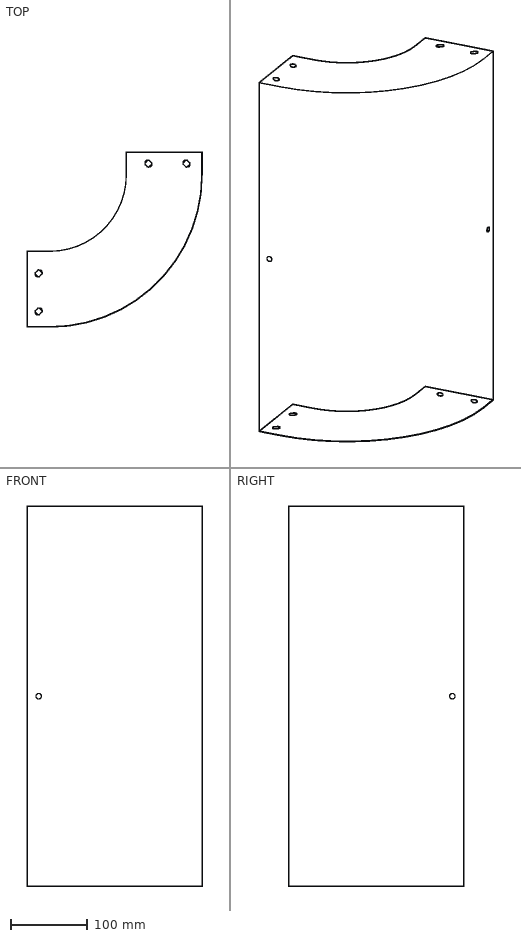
import cadquery as cq
import math

SIDE = 230.0
HEIGHT = 500.0
SHEET = 0.8
STRAIGHT = 30.0
FLANGE_WIDTH = 100.0

HOLE_DIAMETER = 7.0
HOLE_END_DISTANCE = 15.0
SLOT_LENGTH = 10.5
SLOT_ANGLE = 45.0
SLOT_OFFSETS = (20.0, 70.0)

OUTER_RADIUS = SIDE - STRAIGHT
TURN_X = STRAIGHT
TURN_Y = SIDE - STRAIGHT


def turn_middle(radius):
    """Point halfway round the quarter turn at the given radius."""
    reach = radius * math.sqrt(0.5)
    return (TURN_X + reach, TURN_Y - reach)


def elbow(outer_offset, inner_offset, bottom, height):
    """Quarter-turn band between two offsets measured inward from the outer face."""
    return (
        cq.Workplane("XY", origin=(0, 0, bottom))
        .moveTo(0, outer_offset)
        .lineTo(TURN_X, outer_offset)
        .threePointArc(turn_middle(OUTER_RADIUS - outer_offset), (SIDE - outer_offset, TURN_Y))
        .lineTo(SIDE - outer_offset, SIDE)
        .lineTo(SIDE - inner_offset, SIDE)
        .lineTo(SIDE - inner_offset, TURN_Y)
        .threePointArc(turn_middle(OUTER_RADIUS - inner_offset), (TURN_X, inner_offset))
        .lineTo(0, inner_offset)
        .close()
        .extrude(height)
    )


def flanged_wall():
    """Curved wall with an inward flange at the top and at the bottom."""
    wall = elbow(0, SHEET, 0, HEIGHT)
    bottom_flange = elbow(0, FLANGE_WIDTH, 0, SHEET)
    top_flange = elbow(0, FLANGE_WIDTH, HEIGHT - SHEET, SHEET)
    return wall.union(bottom_flange).union(top_flange)


def slot_cutters(bottom, angle):
    """Diagonal slots through one flange, mirrored about the diagonal plane of the part."""
    wall_distances = [SHEET + offset for offset in SLOT_OFFSETS]
    x_end_points = [(HOLE_END_DISTANCE, distance) for distance in wall_distances]
    y_end_points = [(SIDE - distance, SIDE - HOLE_END_DISTANCE) for distance in wall_distances]

    def slots(points, slot_angle):
        return (
            cq.Workplane("XY", origin=(0, 0, bottom))
            .pushPoints(points)
            .slot2D(SLOT_LENGTH, HOLE_DIAMETER, slot_angle)
            .extrude(SHEET)
        )

    return slots(x_end_points, angle).union(slots(y_end_points, -angle))


def wall_hole_cutters():
    """One round hole at mid height near each end of the wall."""
    middle = HEIGHT / 2
    x_end_hole = (
        cq.Workplane("XZ")
        .center(HOLE_END_DISTANCE, middle)
        .circle(HOLE_DIAMETER / 2)
        .extrude(-SHEET)
    )
    y_end_hole = (
        cq.Workplane("YZ", origin=(SIDE, 0, 0))
        .center(SIDE - HOLE_END_DISTANCE, middle)
        .circle(HOLE_DIAMETER / 2)
        .extrude(-SHEET)
    )
    return x_end_hole.union(y_end_hole)


result = (
    flanged_wall()
    .cut(slot_cutters(HEIGHT - SHEET, SLOT_ANGLE))
    .cut(slot_cutters(0, -SLOT_ANGLE))
    .cut(wall_hole_cutters())
    .solids()
)